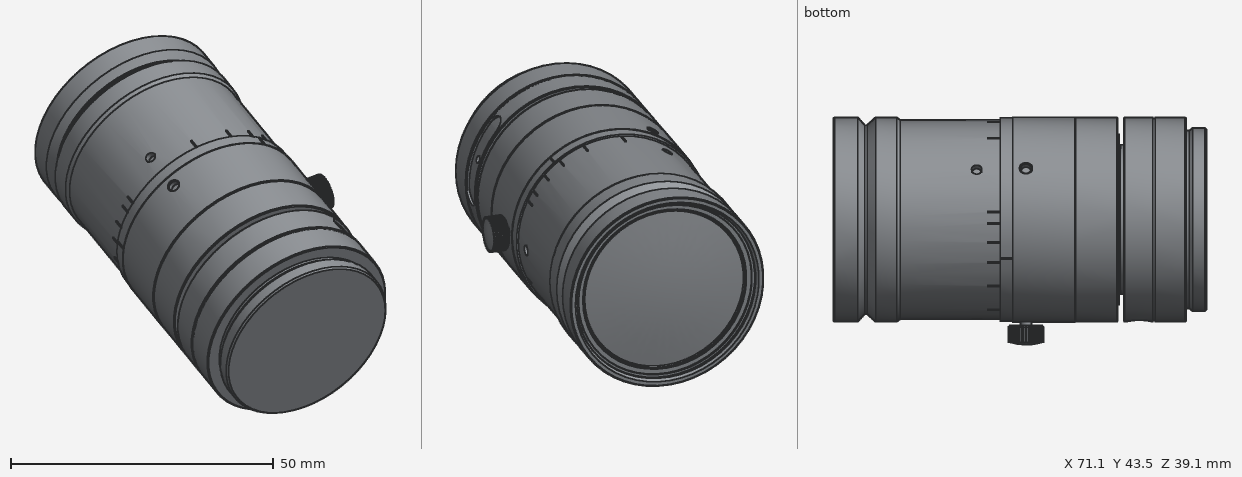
import cadquery as cq
import math


length = 71.1
barrel_r = 39.0 / 2
band_r = 39.1 / 2
edge = 0.2

groove_start, groove_end = 4.6, 8.0
groove_r = 36.0 / 2
groove_floor_start, groove_floor_end = 6.0, 6.4
front_ring_end = 12.0

sleeve_start, sleeve_end = 12.7, 31.8
sleeve_r = 38.0 / 2
index_end = 34.2
index_r = 38.8 / 2
band_end = 46.2
band_step_r = 38.7 / 2
band_step_width = 0.2
focus_end = 54.15

collar_end = 54.45
collar_r = 32.5 / 2
neck_end = 54.65
neck_r = 27.0 / 2
spacer_r = 28.6 / 2

mount_start, mount_end = 55.3, 67.15
parting_start, parting_end = 60.85, 61.25
parting_r = barrel_r - 0.2
waist_end = 67.8
waist_r = 34.0 / 2
flange_start = 68.45
flange_r = 35.0 / 2
flange_chamfer = 0.35

mouth_r = 37.0 / 2
filter_r = 36.0 / 2
filter_chamfer = mouth_r - filter_r
filter_depth = 1.1
retainer_r = 35.0 / 2
retainer_depth = 1.4
seat_r = 33.0 / 2
seat_depth = 1.55
bevel_r = 32.5 / 2
glass_r = 32.0 / 2
glass_depth = seat_depth + bevel_r - glass_r
glass_bulge = 1.3

around = (0, 120, 240)
lock_angle = 60
sleeve_hole_x, sleeve_hole_d = 27.3, 2.0
band_hole_x, band_hole_d = 36.7, 2.05
band_hole_mouth_d = 2.5
hole_depth = 1.4

tick_length = 2.4
tick_width = 0.2
tick_depth = 0.15
stop_angles = (34.3, 27.7, 16.6, 4.4, -11.9, -35.3)
index_angle = 7.4

screw_d = 2.1
knob_r = 3.4
knob_bottom, knob_shoulder, knob_top = 20.2, 23.4, 23.9
knob_dome_r = 3.1
knob_chamfer = 0.35
knurl_count = 32
knurl_depth = 0.3
knurl_width = 0.35

pocket_x = 58.3
pocket_length, pocket_width = 18.35, 4.8
pocket_floor_r = 18.9
pocket_angle = 162
pocket_hole_d = 1.4


def place(shape, angle):
    """Turn a shape built on the -Y side about X, toward +Z for positive angles."""
    return shape.rotate((0, 0, 0), (1, 0, 0), -angle)


def radial_plane(x, radius):
    """Plane on the -Y side, its normal pointing outward."""
    return cq.Workplane(cq.Plane(origin=(x, -radius, 0), xDir=(1, 0, 0), normal=(0, -1, 0)))


def make_barrel():
    outline = (
        cq.Workplane("XY")
        .moveTo(glass_depth - glass_bulge, 0)
        .threePointArc(glass_arc_middle(), (glass_depth, glass_r))
        .lineTo(seat_depth, bevel_r)
        .lineTo(seat_depth, seat_r)
        .lineTo(retainer_depth, seat_r)
        .lineTo(retainer_depth, retainer_r)
        .lineTo(filter_depth, retainer_r)
        .lineTo(filter_depth, filter_r)
        .lineTo(filter_chamfer, filter_r)
        .lineTo(0, mouth_r)
        .lineTo(0, barrel_r - edge)
        .lineTo(edge, barrel_r)
        .lineTo(groove_start, barrel_r)
        .lineTo(groove_floor_start, groove_r)
        .lineTo(groove_floor_end, groove_r)
        .lineTo(groove_end, barrel_r)
        .lineTo(front_ring_end, barrel_r)
        .lineTo(sleeve_start, sleeve_r)
        .lineTo(sleeve_end, sleeve_r)
        .lineTo(sleeve_end, index_r)
        .lineTo(index_end, index_r)
        .lineTo(index_end, band_r)
        .lineTo(band_end - band_step_width, band_r)
        .lineTo(band_end - band_step_width, band_step_r)
        .lineTo(band_end, band_step_r)
        .lineTo(band_end, barrel_r)
        .lineTo(focus_end - edge, barrel_r)
        .lineTo(focus_end, barrel_r - edge)
        .lineTo(focus_end, collar_r)
        .lineTo(collar_end, collar_r)
        .lineTo(collar_end, neck_r)
        .lineTo(neck_end, neck_r)
        .lineTo(neck_end, spacer_r)
        .lineTo(mount_start, spacer_r)
        .lineTo(mount_start, barrel_r - edge)
        .lineTo(mount_start + edge, barrel_r)
        .lineTo(parting_start, barrel_r)
        .lineTo(parting_start, parting_r)
        .lineTo(parting_end, parting_r)
        .lineTo(parting_end, barrel_r)
        .lineTo(mount_end - edge, barrel_r)
        .lineTo(mount_end, barrel_r - edge)
        .lineTo(mount_end, waist_r)
        .lineTo(waist_end, waist_r)
        .lineTo(flange_start, flange_r)
        .lineTo(length - flange_chamfer, flange_r)
        .lineTo(length, flange_r - flange_chamfer)
        .lineTo(length, 0)
        .close()
    )
    return outline.revolve(360, (0, 0, 0), (1, 0, 0))


def glass_arc_middle():
    """Point halfway along the spherical front of the glass."""
    sphere_r = sagitta_radius(glass_r, glass_bulge)
    half_angle = math.asin(glass_r / sphere_r) / 2
    centre_x = glass_depth - glass_bulge + sphere_r
    return centre_x - sphere_r * math.cos(half_angle), sphere_r * math.sin(half_angle)


def radial_hole(x, surface_r, diameter):
    """Flat-bottomed radial hole."""
    return radial_plane(x, surface_r - hole_depth).circle(diameter / 2).extrude(2 * hole_depth)


def hole_mouth(x, surface_r, diameter, mouth_d):
    """45-degree cone that breaks the edge of a radial hole."""
    depth = (mouth_d - diameter) / 2
    cone = radial_plane(x, surface_r - depth).circle(diameter / 2)
    return cone.workplane(offset=2 * depth).circle(mouth_d / 2 + depth).loft()


def tick(x_start, x_end, surface_r):
    """Engraved line along X."""
    middle = (x_start + x_end) / 2
    floor = radial_plane(middle, surface_r - tick_depth)
    return floor.rect(x_end - x_start, tick_width).extrude(2 * tick_depth)


def make_pocket():
    """Rounded slot that follows the curve of the mount ring, plus its hole."""
    slot = radial_plane(pocket_x, 0).slot2D(pocket_length, pocket_width, 90).extrude(2 * barrel_r)
    core = cq.Workplane("YZ").circle(pocket_floor_r).extrude(length)
    hole = radial_hole(pocket_x, pocket_floor_r, pocket_hole_d)
    return place(slot.cut(core).union(hole), pocket_angle)


def sagitta_radius(half_chord, height):
    """Radius of the arc that rises by height over a chord."""
    return (half_chord**2 + height**2) / (2 * height)


def make_knob():
    dome_height = knob_top - knob_shoulder
    dome_sphere_r = sagitta_radius(knob_dome_r, dome_height)
    half_angle = math.asin(knob_dome_r / dome_sphere_r) / 2
    dome_middle = (
        dome_sphere_r * math.sin(half_angle),
        knob_top - dome_sphere_r * (1 - math.cos(half_angle)),
    )
    profile = (
        cq.Workplane("XY")
        .moveTo(0, knob_bottom)
        .lineTo(knob_r - knob_chamfer, knob_bottom)
        .lineTo(knob_r, knob_bottom + knob_chamfer)
        .lineTo(knob_r, knob_shoulder)
        .lineTo(knob_dome_r, knob_shoulder)
        .threePointArc(dome_middle, (0, knob_top))
        .close()
    )
    knob = profile.revolve(360, (0, 0, 0), (0, 1, 0))
    notch = (
        cq.Workplane("XZ", origin=(0, knob_bottom, 0))
        .moveTo(knob_r - knurl_depth, 0)
        .lineTo(knob_r + knurl_depth, knurl_width)
        .lineTo(knob_r + knurl_depth, -knurl_width)
        .close()
        .extrude(knob_bottom - knob_top)
    )
    for i in range(knurl_count):
        knob = knob.cut(notch.rotate((0, 0, 0), (0, 1, 0), i * 360 / knurl_count))
    return knob


def make_locking_screw():
    shank_start = band_r - 2 * hole_depth
    shank_end = knob_bottom + knob_chamfer
    shank = (
        cq.Workplane("XZ", origin=(0, shank_start, 0))
        .circle(screw_d / 2)
        .extrude(shank_start - shank_end)
    )
    return make_knob().union(shank).translate((band_hole_x, 0, 0))


result = make_barrel()
for turn in around:
    lock = lock_angle + turn
    result = result.cut(place(radial_hole(sleeve_hole_x, sleeve_r, sleeve_hole_d), lock))
    result = result.cut(place(radial_hole(band_hole_x, band_r, band_hole_d), lock))
    result = result.cut(place(hole_mouth(band_hole_x, band_r, band_hole_d, band_hole_mouth_d), lock))
    for stop in stop_angles:
        result = result.cut(place(tick(sleeve_end - tick_length, sleeve_end, sleeve_r), stop + turn))
    result = result.cut(place(tick(sleeve_end, index_end, index_r), index_angle + turn))
result = result.cut(make_pocket()).union(make_locking_screw())